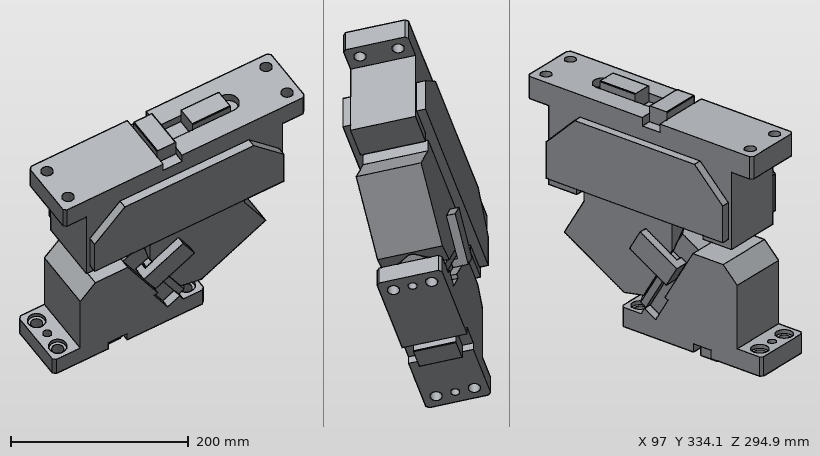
import cadquery as cq
import math


body_width = 76.0
side_width = 97.0
side_thickness = (side_width - body_width) / 2
mount_height = 275.5
corner_chamfer = 3.5
hole_spacing = 44.8
hole_diameter = 13.7

key_width = 25.0
key_length = 50.0
key_proud = 9.7
key_depth = 10.7
key_chamfer = 0.85

plate_length = 320.0
plate_y_max = 233.8
plate_y = plate_y_max - plate_length / 2
plate_thickness = 28.5
plate_hole_edge = 14.7
cross_slot_y = 57.5
long_slot_y_max = 167.5
long_key_y = 125.0
holder_y_min = -56.8
holder_y_max = 203.5
holder_bottom = 160.3
foot_length = 40.0
back_foot_bottom = 146.5
front_foot_bottom = 148.5
side_plate_y_min = -52.5
side_plate_y_max = 198.7
side_plate_chamfer = 40.0

base_length = 200.5
base_thickness = 24.7
base_hole_y = 85.2
counterbore_diameter = 20.7
counterbore_depth = 5.0
dowel_diameter = 10.0
base_key_y = -15.5
block_front = -65.0
block_top = 125.5
block_chamfer = 20.0

slope_angle = math.radians(60)
slope_edge_y = -2.0

neck_width = 55.0
flange_width = 70.8
ridge_flat = 6.0
ridge_out = 40.7
ridge_pitch = math.radians(30)
ridge_end = 114.5
flange_start = 29.5
flange_under = 13.5
pocket_floor = -5.0
pocket_start = 79.5

slider_top = 159.3
slider_y_min = 27.7
slider_y_max = 153.0
slider_back_out = 142.3
slider_end = 119.5
slider_face_out = 22.7
corner_cut_out = 43.8
corner_cut_down = 101.2
tab_start = 24.7
tab_length = 30.0
tab_tip_out = 3.0
tab_height = 60.0
hook_top_out = 12.0
hook_inner_gap = 60.8


def slope_point(out, down):
    """Y and Z of a point of the sloping frame."""
    y = slope_edge_y + out * math.sin(slope_angle) + down * math.cos(slope_angle)
    z = block_top + out * math.cos(slope_angle) - down * math.sin(slope_angle)
    return (y, z)


def box(width, y_min, y_max, z_min, z_max, x=0):
    return (
        cq.Workplane("XY", origin=(x, (y_min + y_max) / 2, z_min))
        .box(width, y_max - y_min, z_max - z_min, centered=(True, True, False))
    )


def side_prism(points, width, x=0):
    """Prism along X, centred on x, with an outline of (Y, Z) points."""
    return cq.Workplane("YZ", origin=(x, 0, 0)).polyline(points).close().extrude(width / 2, both=True)


def slope_box(width, out_min, out_max, down_min, down_max, x=0):
    corners = [
        slope_point(out_min, down_min),
        slope_point(out_max, down_min),
        slope_point(out_max, down_max),
        slope_point(out_min, down_max),
    ]
    return side_prism(corners, width, x)


def slope_prism(points, down_min, down_max):
    """Prism down the slope with an outline of (X, out) points."""
    start = slope_point(0, down_max)
    uphill = (0, -math.cos(slope_angle), math.sin(slope_angle))
    plane = cq.Plane(origin=(0, *start), xDir=(1, 0, 0), normal=uphill)
    return cq.Workplane(plane).polyline(points).close().extrude(down_max - down_min)


def roof_outline(width, bottom_out, top_out):
    """Roof shape of the given width, flat along its top and flat below."""
    eave_out = top_out - (width - ridge_flat) / 2 * math.tan(ridge_pitch)
    return [
        (-width / 2, bottom_out),
        (width / 2, bottom_out),
        (width / 2, eave_out),
        (ridge_flat / 2, top_out),
        (-ridge_flat / 2, top_out),
        (-width / 2, eave_out),
    ]


def key(size_x, size_y, long_axis):
    """Key standing on z = 0, with its two long top edges chamfered."""
    block = cq.Workplane("XY").box(size_x, size_y, key_depth + key_proud, centered=(True, True, False))
    return block.faces(">Z").edges("|" + long_axis).chamfer(key_chamfer)


def cross_key():
    return key(key_length, key_width, "X")


def make_holder():
    plate_bottom = mount_height - plate_thickness
    slot_floor = mount_height - key_depth
    plate = box(body_width, plate_y_max - plate_length, plate_y_max, plate_bottom, mount_height)
    plate = plate.edges("|Z").chamfer(corner_chamfer)
    holes = (
        cq.Workplane("XY", origin=(0, plate_y, plate_bottom))
        .rarray(hole_spacing, plate_length - 2 * plate_hole_edge, 2, 2)
        .circle(hole_diameter / 2)
        .extrude(plate_thickness)
    )
    plate = plate.cut(holes)

    holder = plate.union(box(body_width, holder_y_min, holder_y_max, holder_bottom, plate_bottom))
    holder = holder.union(
        box(body_width, holder_y_min, holder_y_min + foot_length, front_foot_bottom, holder_bottom)
    )
    holder = holder.union(
        box(body_width, holder_y_max - foot_length, holder_y_max, back_foot_bottom, holder_bottom)
    )

    side_outline = [
        (side_plate_y_min, holder_bottom),
        (side_plate_y_max, holder_bottom),
        (side_plate_y_max, plate_bottom - side_plate_chamfer),
        (side_plate_y_max - side_plate_chamfer, plate_bottom),
        (side_plate_y_min + side_plate_chamfer, plate_bottom),
        (side_plate_y_min, plate_bottom - side_plate_chamfer),
    ]
    for side in (-1, 1):
        x = side * (body_width + side_thickness) / 2
        holder = holder.union(side_prism(side_outline, side_thickness, x))

    round_y = long_slot_y_max - key_width / 2
    cross_slot = box(
        body_width, cross_slot_y - key_width / 2, cross_slot_y + key_width / 2, slot_floor, mount_height
    )
    long_slot = box(key_width, cross_slot_y, round_y, slot_floor, mount_height)
    round_end = cq.Workplane("XY", origin=(0, round_y, slot_floor)).circle(key_width / 2).extrude(key_depth)
    holder = holder.cut(cross_slot).cut(long_slot).cut(round_end)

    holder = holder.union(cross_key().translate((0, cross_slot_y, slot_floor)))
    long_key = key(key_width, key_length, "Y")
    return holder.union(long_key.translate((0, long_key_y, slot_floor)))


def make_driver():
    base = box(body_width, -base_length / 2, base_length / 2, 0, base_thickness)
    base = base.edges("|Z").chamfer(corner_chamfer)

    out_rise = flange_under * math.cos(slope_angle)
    foot_down = (block_top + out_rise - base_thickness) / math.sin(slope_angle)
    block = side_prism(
        [
            (block_front, base_thickness),
            (block_front, block_top - block_chamfer),
            (block_front + block_chamfer, block_top),
            slope_point(0, 0),
            slope_point(0, ridge_end),
            slope_point(flange_under, ridge_end),
            slope_point(flange_under, foot_down),
        ],
        body_width,
    )
    driver = base.union(block)

    driver = driver.cut(slope_box(body_width, pocket_floor, flange_under, pocket_start, ridge_end))
    driver = driver.union(slope_prism(roof_outline(neck_width, pocket_floor, ridge_out), 0, ridge_end))
    driver = driver.union(
        slope_prism(roof_outline(flange_width, flange_under, ridge_out), flange_start, ridge_end)
    )

    screw_holes = (
        cq.Workplane("XY", origin=(0, 0, base_thickness)).rarray(hole_spacing, 2 * base_hole_y, 2, 2)
    )
    driver = driver.cut(screw_holes.circle(hole_diameter / 2).extrude(-base_thickness))
    driver = driver.cut(screw_holes.circle(counterbore_diameter / 2).extrude(-counterbore_depth))
    dowel_holes = (
        cq.Workplane("XY")
        .pushPoints([(0, -base_hole_y), (0, base_hole_y)])
        .circle(dowel_diameter / 2)
        .extrude(base_thickness)
    )
    driver = driver.cut(dowel_holes)

    key_y_min = base_key_y - key_width / 2
    driver = driver.cut(box(body_width, key_y_min, key_y_min + key_width, 0, key_depth))
    base_key = cross_key().rotate((0, 0, 0), (1, 0, 0), 180)
    return driver.union(base_key.translate((0, base_key_y, key_depth)))


def make_slider():
    front_down = (slider_y_min - slope_point(slider_face_out, 0)[0]) / math.cos(slope_angle)
    rear_down = (slider_y_max - slope_point(slider_back_out, 0)[0]) / math.cos(slope_angle)
    slider = side_prism(
        [
            (slider_y_min, slider_top),
            (slider_y_max, slider_top),
            slope_point(slider_back_out, rear_down),
            slope_point(slider_back_out, slider_end),
            slope_point(corner_cut_out, slider_end),
            slope_point(slider_face_out, corner_cut_down),
            slope_point(slider_face_out, front_down),
        ],
        body_width,
    )

    groove = slope_prism(roof_outline(body_width, pocket_floor, ridge_out), -ridge_end, slider_end)
    slider = slider.cut(groove)

    tab_end = tab_start + tab_length
    for side in (-1, 1):
        x = side * (body_width + side_thickness) / 2
        tab = slope_box(side_thickness, tab_tip_out, tab_tip_out + tab_height, tab_start, tab_end, x)
        hook_width = (side_width - hook_inner_gap) / 2
        hook_x = side * (side_width - hook_width) / 2
        hook = slope_box(hook_width, tab_tip_out, hook_top_out, tab_start, tab_end, hook_x)
        slider = slider.union(tab).union(hook)
    return slider


holder = make_holder().solids()
driver = make_driver().solids()
slider = make_slider().solids()

result = cq.Compound.makeCompound([holder.val(), driver.val(), slider.val()])